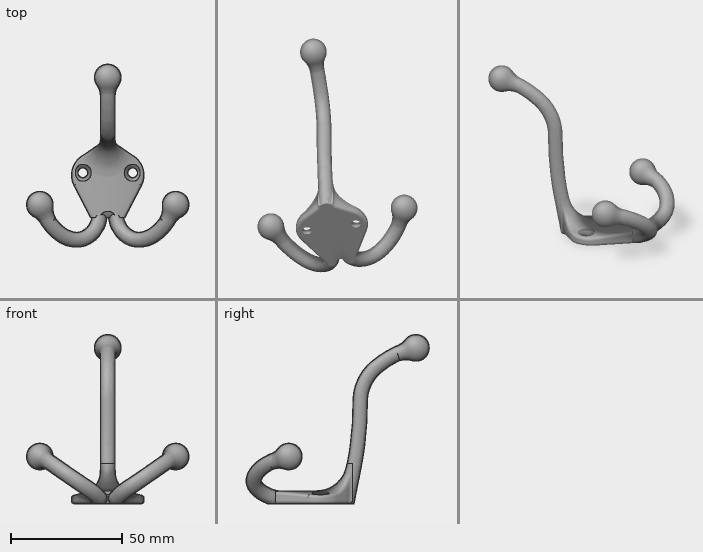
import cadquery as cq
import math


WIDTH = 73.0
BALL_RADIUS = 6.0
NECK_LENGTH = 8.65

END_CORNER = (7.7, -20.2)
SIDE_TOP = (15.15, -5.8)
SHOULDER_END = (11.7, 7.5)
NAPE_START = (4.4, 12.4)
NAPE_END = (3.4, 14.2)
CROWN_HEIGHT = 5.85
CROWN_RADIUS = 59.25
RIM_FILLET = 1.3
RIM_MIN_X = 4.1
RIM_LOW = 3.45
RIM_HIGH = 12.35

HOLE_X = 11.2
HOLE_RADIUS = 2.1
SINK_RADIUS = 3.8
SINK_RIM_HEIGHT = 4.45

UPPER_ROD_RADIUS = 6.7 / 2
UPPER_FOOT = (11.7, 0.0)
UPPER_KNEE = (15.1, 17.2)
UPPER_BEND_START = (17.8, 45.75)
UPPER_BEND_END = (25.3, 61.65)
UPPER_NECK = (34.15, 67.3)
UPPER_BALL = (42.8, 70.0)
FLARE_RADIUS = 13.6
FLARE_TOP = 18.1

LOWER_ROD_RADIUS = 3.45
LOWER_PATH = [
    (3.7, -17.3, 2.2),
    (4.5, -23.05, 3.4),
    (7.3, -27.25, 5.8),
    (12.5, -29.95, 9.3),
    (20.1, -28.2, 14.5),
    (26.3, -22.2, 18.85),
    (WIDTH / 2 - BALL_RADIUS, -14.3, 21.2),
]
LOWER_START_DIRECTION = (0.1, -1.0, 0.1)

HOLLOW_Y = -21.4
HOLLOW_TOP_RADIUS = 4.1
HOLLOW_FLOOR_RADIUS = 0.4
HOLLOW_FLOOR_HEIGHT = 3.7

BEYOND = 82.3


def vertical_cone(x, y, low, high):
    """Cone frustum on a vertical axis; low and high are (radius, height)."""
    profile = cq.Workplane("XZ").polyline([(0, low[1]), low, high, (0, high[1])]).close()
    return profile.revolve(360, (0, 0), (0, 1)).translate((x, y, 0))


def plate_outline(height):
    """Heart-shaped plan of the plate, extruded up from the mounting face."""
    half = (
        cq.Workplane("XY")
        .moveTo(0, END_CORNER[1])
        .lineTo(*END_CORNER)
        .lineTo(*SIDE_TOP)
        .tangentArcPoint(SHOULDER_END, relative=False)
        .lineTo(*NAPE_START)
        .tangentArcPoint(NAPE_END, relative=False)
        .lineTo(0, NAPE_END[1])
    )
    return half.mirrorY().extrude(height)


def crown_with_flare():
    """Cylindrical plate top with the leaning foot of the upper arm blended into it."""
    crown = (
        cq.Workplane("XZ")
        .center(0, CROWN_HEIGHT - CROWN_RADIUS)
        .circle(CROWN_RADIUS)
        .extrude(BEYOND, both=True)
    )
    foot = cq.Vector(0, *UPPER_FOOT)
    lean = cq.Vector(0, *UPPER_KNEE) - foot
    post = cq.Workplane(cq.Solid.makeCylinder(UPPER_ROD_RADIUS, BEYOND, foot, lean))
    foot_ring = cq.selectors.BoxSelector(
        (-2 * UPPER_ROD_RADIUS, 0, CROWN_HEIGHT - 0.8),
        (2 * UPPER_ROD_RADIUS, 2 * UPPER_FOOT[0], CROWN_HEIGHT + 0.8),
        boundingbox=True,
    )
    return crown.union(post).edges(foot_ring).fillet(FLARE_RADIUS)


def plate():
    body = plate_outline(FLARE_TOP).intersect(crown_with_flare())
    body = body.faces("<Z").edges("not <Y").fillet(RIM_FILLET)
    right_rim = cq.selectors.BoxSelector((RIM_MIN_X, -BEYOND, RIM_LOW), (BEYOND, BEYOND, RIM_HIGH))
    left_rim = cq.selectors.BoxSelector((-BEYOND, -BEYOND, RIM_LOW), (-RIM_MIN_X, BEYOND, RIM_HIGH))
    return body.edges("not |Z").edges(right_rim + left_rim).fillet(RIM_FILLET)


def ball_with_neck(center, toward, rod_radius):
    """Ball whose concave neck runs tangentially into the rod."""
    axis = cq.Vector(*toward) - cq.Vector(*center)
    blend = (NECK_LENGTH**2 + rod_radius**2 - BALL_RADIUS**2) / (2 * (BALL_RADIUS - rod_radius))
    reach = BALL_RADIUS + blend
    touch = (BALL_RADIUS * (rod_radius + blend) / reach, BALL_RADIUS * NECK_LENGTH / reach)
    half_turn = math.atan2(NECK_LENGTH - touch[1], rod_radius + blend - touch[0]) / 2
    neck_middle = (
        rod_radius + blend - blend * math.cos(half_turn),
        NECK_LENGTH - blend * math.sin(half_turn),
    )
    side = axis.cross(cq.Vector(0, 0, 1))
    profile = (
        cq.Workplane(cq.Plane(origin=center, xDir=side, normal=side.cross(axis)))
        .moveTo(0, -BALL_RADIUS)
        .threePointArc((BALL_RADIUS, 0), touch)
        .threePointArc(neck_middle, (rod_radius, NECK_LENGTH))
        .lineTo(0, NECK_LENGTH)
        .close()
    )
    return profile.revolve(360, (0, 0), (0, 1))


def upper_arm():
    path = (
        cq.Workplane("YZ")
        .moveTo(*UPPER_FOOT)
        .lineTo(*UPPER_KNEE)
        .tangentArcPoint(UPPER_BEND_START, relative=False)
        .tangentArcPoint(UPPER_BEND_END, relative=False)
        .tangentArcPoint(UPPER_NECK, relative=False)
        .tangentArcPoint(UPPER_BALL, relative=False)
    )
    rod = cq.Workplane("XY").center(0, UPPER_FOOT[0]).circle(UPPER_ROD_RADIUS).sweep(path)
    ball = ball_with_neck((0, *UPPER_BALL), (0, *UPPER_NECK), UPPER_ROD_RADIUS)
    return rod.union(ball)


def lower_arm():
    """The +X arm, cut flat where it rests on the mounting face."""
    points = [cq.Vector(*point) for point in LOWER_PATH]
    path = cq.Workplane("XY").spline(points)
    across = (1, LOWER_START_DIRECTION[0], 0)
    start = cq.Plane(origin=LOWER_PATH[0], xDir=across, normal=LOWER_START_DIRECTION)
    rod = cq.Workplane(start).circle(LOWER_ROD_RADIUS).sweep(path)
    ball = ball_with_neck(LOWER_PATH[-1], LOWER_PATH[-2], LOWER_ROD_RADIUS)
    above = cq.Workplane("XY").box(2 * BEYOND, 2 * BEYOND, BEYOND, centered=(True, True, False))
    return rod.intersect(above).union(ball)


def hollow():
    """Funnel-shaped hollow at the lower end of the plate."""
    floor = (HOLLOW_FLOOR_RADIUS, HOLLOW_FLOOR_HEIGHT)
    return vertical_cone(0, HOLLOW_Y, floor, (HOLLOW_TOP_RADIUS, CROWN_HEIGHT))


def screw_hole(x):
    """Through bore with a 90 degree countersink, open above its rim."""
    sink_bottom = SINK_RIM_HEIGHT - (SINK_RADIUS - HOLE_RADIUS)
    bore = cq.Workplane("XY").center(x, 0).circle(HOLE_RADIUS).extrude(SINK_RIM_HEIGHT)
    sink = vertical_cone(x, 0, (HOLE_RADIUS, sink_bottom), (SINK_RADIUS, SINK_RIM_HEIGHT))
    opening = cq.Workplane("XY", origin=(x, 0, SINK_RIM_HEIGHT)).circle(SINK_RADIUS).extrude(CROWN_HEIGHT)
    return bore.union(sink).union(opening)


right_arm = lower_arm()
result = plate().cut(hollow()).union(upper_arm()).union(right_arm).union(right_arm.mirror("YZ"))
for hole_x in (-HOLE_X, HOLE_X):
    result = result.cut(screw_hole(hole_x))